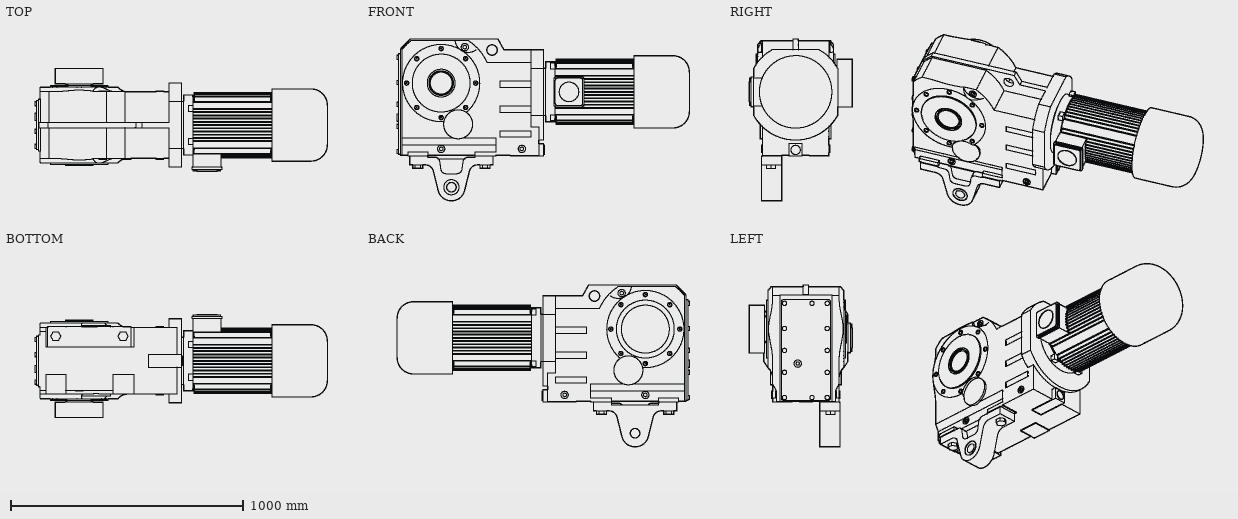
import cadquery as cq
import math


HOUSING_LEFT = -169.0
HOUSING_RIGHT = 387.0
HOUSING_TOP = 183.0
HOUSING_BOTTOM = -311.0
HOUSING_HALF_WIDTH = 144.0
CROWN_LEFT_X = -130.0
CROWN_RIGHT_X = 117.0
SHOULDER_LEFT_Z = 145.0
SHOULDER_Z = 88.0
HEEL_RIGHT = 421.0
HEEL_TOP = -186.0

WEB_THICKNESS = 24.0
WEB_LEFT = -174.0
WEB_TOP = 190.0
WEB_LEFT_CHAMFER = 40.0
WEB_NOSE_X = 244.0
WEB_STEP_X = 271.0
EYE_X = 219.0
EYE_Z = 142.0
EYE_DIAMETER = 44.0

BOSS_FACE_Y = 164.0
BOSS_FACE_RADIUS = 166.0
BOSS_ROOT_RADIUS = 207.0
BOSS_FLARE_RADIUS = 184.0
BOSS_FLARE_Y = 150.0
COVER_DIAMETER = 250.0
COVER_FACE_Y = 170.0
HUB_DIAMETER = 120.0
HUB_FACE_Y = 175.0
HUB_GROOVE_OUTER = 106.0
HUB_GROOVE_DEPTH = 5.0
BORE_DIAMETER = 95.0
BOSS_HOLE_COUNT = 8
BOSS_HOLE_CIRCLE_RADIUS = 149.0
BOSS_HOLE_DIAMETER = 19.0
BOSS_HOLE_DEPTH = 4.0
BOSS_HOLE_CONE_DIAMETER = 16.0
BOSS_HOLE_TIP_DIAMETER = 4.0
BOSS_HOLE_CONE_DEPTH = 6.0
PAD_X = 73.0
PAD_Z = -178.0
PAD_DIAMETER = 125.0
PAD_FACE_Y = 152.0
RELIEF_X = 117.0
RELIEF_Z = 190.0
RELIEF_RADIUS = 58.0

GUARD_INNER_Y = 178.0
GUARD_OUTER_Y = 244.0
GUARD_DIAMETER = 207.0
GUARD_NECK_SMALL_RADIUS = 49.0
GUARD_NECK_LARGE_RADIUS = 62.0

SLOT_LEFT = 253.0
SLOT_HEIGHT = 28.0
SLOT_DEPTH = 6.0
SLOT_TOPS = (9.0, -98.0, -205.0)
SKIRT_RIGHT = 235.0
SKIRT_HALF_WIDTH = 127.0
SKIRT_BEVEL_TOP = -235.0
SKIRT_BEVEL_BOTTOM = -266.0
FOOT_TOP = -296.0
FOOT_BOTTOM = -315.0
FOOT_INNER_Y = 59.0
FOOT_SPANS = ((-144.0, -57.0), (145.0, 235.0))

PLUG_DIAMETER = 31.0
PLUG_SOCKET = 16.0
PLUG_SOCKET_DEPTH = 4.0
SOCKET_TURN = 30
PLUG_RAISE = 4.0
PLUG_SHANK = 25.0
LOW_PLUG_Z = -283.0
SKIRT_PLUG_X = 0
HEEL_PLUG_X = 348.0
HIGH_PLUG_X = 102.0
HIGH_PLUG_Z = 155.0

DRAIN_LEFT = 299.0
DRAIN_RIGHT = 441.0
DRAIN_TOP = -261.0
DRAIN_WIDTH = 55.0
DRAIN_PLUG_DIAMETER = 40.0

FRAME_LEFT = -175.0
FRAME_HALF_WIDTH = 112.0
FRAME_TOP = 147.0
PLATE_LEFT = -184.0
PLATE_HALF_WIDTH = 106.0
PLATE_TOP = 127.0
PLATE_BOTTOM = -307.0
PLATE_CORNER_RADIUS = 10.0
END_LEFT = -190.0
COVER_SCREW_DIAMETER = 19.0
COVER_SCREW_Y = 92.0
COVER_SCREW_MIDDLE_Y = -26.0
COVER_SCREW_Z = (111.0, 3.0, -92.0, -186.0, -295.0)
COVER_PLUG_Y = 35.0
COVER_PLUG_Z = -149.0

ARM_FRONT_Y = -147.0
ARM_BACK_Y = -59.0
ARM_CENTER_X = 44.0
ARM_HALF_LENGTH = 180.0
ARM_TOP = FOOT_BOTTOM
ARM_PLATE_BOTTOM = -353.0
ARM_END_RADIUS = 59.0
ARM_HOLE_Z = -448.0
ARM_HOLE_DIAMETER = 40.0
ARM_BUSH_DIAMETER = 65.0
ARM_BUSH_RECESS = 3.0
ARM_LEG_ANGLE = 14
ARM_FILLET = 34.0
ARM_GAP_HALF = 101.0
ARM_GAP_BOTTOM = -319.0
ARM_WALL_TOP = -326.0
ARM_POCKET_BOTTOM = -390.0
ARM_POCKET_TOP_HALF = 53.0
ARM_POCKET_BOTTOM_HALF = 43.0
ARM_POCKET_FILLET = 23.0
ARM_POCKET_DEPTH = 31.0
ARM_BOLT_OFFSET = 145.0
ARM_BOLT_Y = -106.0
ARM_BOLT_HEAD_SIZE = 44.0
ARM_BOLT_HEAD_HEIGHT = 15.0

MOTOR_Z = -38.0
FLANGE_RIGHT = 441.0
FLANGE_RADIUS = 208.0
FLANGE_HALF_WIDTH = 181.0
NECK_RIGHT = 450.0
NECK_RADIUS = 102.0
RING_RIGHT = 490.0
RING_RADIUS = 130.0
LUG_LENGTH = 20.0
LUG_SIZE = 26.0
LUG_Y = 70.0
LUG_Z = 111.0
STATOR_RIGHT = 830.0
STATOR_RADIUS = 121.0
FIN_RADIUS = 141.0
FIN_COUNT = 11
FIN_PITCH = 14.0
FIN_THICKNESS = 4.0
FIN_END_GAP = 5.0
FAN_RIGHT = 1069.0
FAN_RADIUS = 156.0
FAN_ROUND = 72.0

BOX_X = 550.0
BOX_LENGTH = 121.0
BOX_HALF_HEIGHT = 60.0
RIM_LENGTH = 131.0
RIM_HEIGHT = 128.0
RIM_CORNER = 10.0
RIM_INNER_Y = -181.0
RIM_OUTER_Y = -191.0
LID_FACE_Y = -198.0
LID_SIZE = 118.0
BADGE_DIAMETER = 85.0
BADGE_FACE_Y = -200.0


def block(x0, x1, y0, y1, z0, z1):
    """Box given by its limits along each axis."""
    return cq.Workplane("XY").box(x1 - x0, y1 - y0, z1 - z0, centered=False).translate((x0, y0, z0))


def rod_x(diameter, x0, x1, y, z):
    """Cylinder along X."""
    return cq.Workplane("YZ", origin=(x0, y, z)).circle(diameter / 2).extrude(x1 - x0)


def rod_y(diameter, y0, y1, x, z):
    """Cylinder along Y."""
    return cq.Workplane("XZ", origin=(x, y0, z)).circle(diameter / 2).extrude(y0 - y1)


def prism_y(outline, y0, y1):
    """Closed XZ outline swept from y0 to y1."""
    return cq.Workplane("XZ", origin=(0, y0, 0)).polyline(outline).close().extrude(y0 - y1)


def fillet_edge_y(shape, x, z, radius):
    """Round the edge along Y that lies nearest to the given X and Z."""
    corner = cq.NearestToPointSelector((x, shape.val().Center().y, z))
    return shape.edges("|Y").edges(corner).fillet(radius)


def both_sides(shape):
    """Shape joined with its mirror image across Y = 0."""
    return shape.union(shape.mirror("XZ"))


def arc_middle(start, end):
    """Point on the shaft-centred arc halfway between two ends."""
    angle = (math.atan2(start[1], start[0]) + math.atan2(end[1], end[0])) / 2
    radius = (math.hypot(*start) + math.hypot(*end)) / 2
    return radius * math.cos(angle), radius * math.sin(angle)


def make_body(half_width):
    """Housing block with rounded shoulders left and right of its crown."""
    left_low = (HOUSING_LEFT, SHOULDER_LEFT_Z)
    left_high = (CROWN_LEFT_X, HOUSING_TOP)
    right_high = (CROWN_RIGHT_X, HOUSING_TOP)
    crown_radius = math.hypot(*right_high)
    right_low = (math.sqrt(crown_radius**2 - SHOULDER_Z**2), SHOULDER_Z)
    return (
        cq.Workplane("XZ")
        .moveTo(HOUSING_LEFT, HOUSING_BOTTOM)
        .lineTo(*left_low)
        .threePointArc(arc_middle(left_low, left_high), left_high)
        .lineTo(*right_high)
        .threePointArc(arc_middle(right_high, right_low), right_low)
        .lineTo(HOUSING_RIGHT, SHOULDER_Z)
        .lineTo(HOUSING_RIGHT, HEEL_TOP)
        .lineTo(HEEL_RIGHT, HEEL_TOP)
        .lineTo(HEEL_RIGHT, HOUSING_BOTTOM)
        .close()
        .extrude(half_width, both=True)
    )


def make_web():
    outline = [
        (WEB_LEFT, 0),
        (WEB_LEFT, WEB_TOP - WEB_LEFT_CHAMFER),
        (WEB_LEFT + WEB_LEFT_CHAMFER, WEB_TOP),
        (WEB_NOSE_X, WEB_TOP),
        (WEB_STEP_X, MOTOR_Z + FLANGE_HALF_WIDTH),
        (FLANGE_RIGHT, MOTOR_Z + FLANGE_HALF_WIDTH),
        (FLANGE_RIGHT, 0),
    ]
    web = prism_y(outline, -WEB_THICKNESS / 2, WEB_THICKNESS / 2)
    return web.cut(rod_y(EYE_DIAMETER, -WEB_THICKNESS, WEB_THICKNESS, EYE_X, EYE_Z))


def make_boss_holes():
    """Ring of shallow holes in the -Y boss face, each ending in a blunt cone."""
    cone_y = -BOSS_FACE_Y + BOSS_HOLE_DEPTH
    cone = (
        cq.Workplane("XZ", origin=(BOSS_HOLE_CIRCLE_RADIUS, cone_y, 0))
        .circle(BOSS_HOLE_CONE_DIAMETER / 2)
        .workplane(offset=-BOSS_HOLE_CONE_DEPTH)
        .circle(BOSS_HOLE_TIP_DIAMETER / 2)
        .loft()
    )
    hole = rod_y(BOSS_HOLE_DIAMETER, -BOSS_FACE_Y, cone_y, BOSS_HOLE_CIRCLE_RADIUS, 0).union(cone)
    holes = cq.Workplane("XY")
    for index in range(BOSS_HOLE_COUNT):
        holes = holes.union(hole.rotate((0, 0, 0), (0, 1, 0), index * 360 / BOSS_HOLE_COUNT))
    return holes


def make_boss():
    """Flared bearing boss on the -Y side, trimmed to the housing outline."""
    boss = (
        cq.Workplane("XY")
        .moveTo(0, 0)
        .lineTo(BOSS_ROOT_RADIUS, 0)
        .lineTo(BOSS_ROOT_RADIUS, -HOUSING_HALF_WIDTH)
        .threePointArc((BOSS_FLARE_RADIUS, -BOSS_FLARE_Y), (BOSS_FACE_RADIUS, -BOSS_FACE_Y))
        .lineTo(0, -BOSS_FACE_Y)
        .close()
        .revolve(360, (0, 0, 0), (0, 1, 0))
        .intersect(make_body(BOSS_FACE_Y))
    )
    boss = boss.cut(rod_y(2 * RELIEF_RADIUS, -BOSS_FACE_Y, -HOUSING_HALF_WIDTH, RELIEF_X, RELIEF_Z))
    boss = boss.cut(rod_y(PAD_DIAMETER, -BOSS_FACE_Y, -PAD_FACE_Y, PAD_X, PAD_Z))
    boss = boss.union(rod_y(PAD_DIAMETER, -PAD_FACE_Y, 0, PAD_X, PAD_Z))
    boss = boss.union(rod_y(COVER_DIAMETER, -COVER_FACE_Y, 0, 0, 0))
    return boss.cut(make_boss_holes())


def make_plug_y(x, z, face_y, base_y):
    """Screw plug with a hexagon socket on the -Y side."""
    plug = rod_y(PLUG_DIAMETER, face_y, base_y, x, z)
    socket = (
        cq.Workplane("XZ", origin=(x, face_y, z))
        .transformed(rotate=(0, 0, SOCKET_TURN))
        .polygon(6, PLUG_SOCKET)
        .extrude(-PLUG_SOCKET_DEPTH)
    )
    return plug.cut(socket)


def make_plugs():
    """Plugs of the -Y side, each raised slightly above the wall it sits in."""
    plugs = cq.Workplane("XY")
    for x, z, wall_y in (
        (HIGH_PLUG_X, HIGH_PLUG_Z, -HOUSING_HALF_WIDTH),
        (HEEL_PLUG_X, LOW_PLUG_Z, -HOUSING_HALF_WIDTH),
        (SKIRT_PLUG_X, LOW_PLUG_Z, -SKIRT_HALF_WIDTH),
    ):
        plugs = plugs.union(make_plug_y(x, z, wall_y - PLUG_RAISE, wall_y + PLUG_SHANK))
    return plugs


def make_slots():
    """Shallow hollow flutes on the -Y side, running up to the flange."""
    slots = cq.Workplane("XY")
    for top in SLOT_TOPS:
        slot = (
            cq.Workplane("YZ", origin=(SLOT_LEFT, -HOUSING_HALF_WIDTH, top))
            .threePointArc((SLOT_DEPTH, -SLOT_HEIGHT / 2), (0, -SLOT_HEIGHT))
            .close()
            .extrude(HOUSING_RIGHT - SLOT_LEFT)
        )
        slots = slots.union(slot)
    return slots


def make_skirt_cut():
    """Material removed along the foot of the -Y side, with a bevelled upper edge."""
    return (
        cq.Workplane("YZ", origin=(HOUSING_LEFT, 0, 0))
        .moveTo(-HOUSING_HALF_WIDTH, SKIRT_BEVEL_TOP)
        .lineTo(-SKIRT_HALF_WIDTH, SKIRT_BEVEL_BOTTOM)
        .lineTo(-SKIRT_HALF_WIDTH, HOUSING_BOTTOM)
        .lineTo(-HOUSING_HALF_WIDTH, HOUSING_BOTTOM)
        .close()
        .extrude(SKIRT_RIGHT - HOUSING_LEFT)
    )


def make_feet():
    feet = cq.Workplane("XY")
    for x0, x1 in FOOT_SPANS:
        feet = feet.union(block(x0, x1, -HOUSING_HALF_WIDTH, -FOOT_INNER_Y, FOOT_BOTTOM, FOOT_TOP))
    return feet


def make_drain_boss():
    half_width = DRAIN_WIDTH / 2
    boss = block(DRAIN_LEFT, DRAIN_RIGHT, -half_width, half_width, FOOT_BOTTOM, DRAIN_TOP)
    plug_z = (FOOT_BOTTOM + DRAIN_TOP) / 2
    return boss.union(rod_x(DRAIN_PLUG_DIAMETER, HEEL_RIGHT, DRAIN_RIGHT + PLUG_RAISE, 0, plug_z))


def make_housing():
    side_cuts = make_slots().union(make_skirt_cut())
    housing = make_body(HOUSING_HALF_WIDTH).cut(both_sides(side_cuts))
    side_parts = make_boss().union(make_plugs()).union(make_feet())
    return housing.union(both_sides(side_parts)).union(make_web()).union(make_drain_boss())


def make_end_cover():
    frame = block(FRAME_LEFT, 0, -FRAME_HALF_WIDTH, FRAME_HALF_WIDTH, HOUSING_BOTTOM, FRAME_TOP)
    plate = block(PLATE_LEFT, 0, -PLATE_HALF_WIDTH, PLATE_HALF_WIDTH, PLATE_BOTTOM, PLATE_TOP)
    cover = frame.union(plate.edges("|X").fillet(PLATE_CORNER_RADIUS))
    screws = [(side * COVER_SCREW_Y, z) for side in (-1, 1) for z in COVER_SCREW_Z]
    screws += [(COVER_SCREW_MIDDLE_Y, z) for z in (COVER_SCREW_Z[0], COVER_SCREW_Z[-1])]
    for y, z in screws:
        cover = cover.union(rod_x(COVER_SCREW_DIAMETER, END_LEFT, 0, y, z))
    cover = cover.union(rod_x(PLUG_DIAMETER, END_LEFT, 0, COVER_PLUG_Y, COVER_PLUG_Z))
    socket = (
        cq.Workplane("YZ", origin=(END_LEFT, COVER_PLUG_Y, COVER_PLUG_Z))
        .polygon(6, PLUG_SOCKET)
        .extrude(PLUG_SOCKET_DEPTH)
    )
    return cover.cut(socket)


def make_output_hub():
    """Shaft hub on the -Y side and the closed shrink disc guard on the +Y side."""
    hub = rod_y(HUB_DIAMETER, -HUB_FACE_Y, 0, 0, 0)
    guard_neck = (
        cq.Workplane("XY")
        .lineTo(GUARD_NECK_SMALL_RADIUS, 0)
        .lineTo(GUARD_NECK_SMALL_RADIUS, COVER_FACE_Y)
        .lineTo(GUARD_NECK_LARGE_RADIUS, GUARD_INNER_Y)
        .lineTo(0, GUARD_INNER_Y)
        .close()
        .revolve(360, (0, 0, 0), (0, 1, 0))
    )
    return hub.union(guard_neck).union(rod_y(GUARD_DIAMETER, GUARD_INNER_Y, GUARD_OUTER_Y, 0, 0))


def make_bore():
    """Blind shaft bore with a ring groove at its mouth."""
    groove = rod_y(HUB_GROOVE_OUTER, -HUB_FACE_Y, -HUB_FACE_Y + HUB_GROOVE_DEPTH, 0, 0)
    return groove.union(rod_y(BORE_DIAMETER, -HUB_FACE_Y, GUARD_INNER_Y, 0, 0))


def make_torque_arm():
    arm = block(-ARM_HALF_LENGTH, ARM_HALF_LENGTH, ARM_FRONT_Y, ARM_BACK_Y, ARM_PLATE_BOTTOM, ARM_TOP)

    angle = math.radians(ARM_LEG_ANGLE)
    tangent_x = ARM_END_RADIUS * math.cos(angle)
    tangent_z = ARM_HOLE_Z - ARM_END_RADIUS * math.sin(angle)
    root_x = tangent_x + (ARM_PLATE_BOTTOM - tangent_z) * math.tan(angle)
    leg = (
        cq.Workplane("XZ", origin=(0, ARM_FRONT_Y, 0))
        .moveTo(-root_x, ARM_PLATE_BOTTOM)
        .lineTo(-tangent_x, tangent_z)
        .threePointArc((0, ARM_HOLE_Z - ARM_END_RADIUS), (tangent_x, tangent_z))
        .lineTo(root_x, ARM_PLATE_BOTTOM)
        .close()
        .extrude(ARM_FRONT_Y - ARM_BACK_Y)
    )
    arm = arm.union(leg)
    for side in (-1, 1):
        arm = fillet_edge_y(arm, side * root_x, ARM_PLATE_BOTTOM, ARM_FILLET)

    pocket_back_y = ARM_FRONT_Y + ARM_POCKET_DEPTH
    pocket_outline = [
        (-ARM_GAP_HALF, ARM_TOP),
        (-ARM_GAP_HALF, ARM_GAP_BOTTOM),
        (-ARM_POCKET_TOP_HALF, ARM_GAP_BOTTOM),
        (-ARM_POCKET_BOTTOM_HALF, ARM_POCKET_BOTTOM),
        (ARM_POCKET_BOTTOM_HALF, ARM_POCKET_BOTTOM),
        (ARM_POCKET_TOP_HALF, ARM_GAP_BOTTOM),
        (ARM_GAP_HALF, ARM_GAP_BOTTOM),
        (ARM_GAP_HALF, ARM_TOP),
    ]
    pocket = prism_y(pocket_outline, ARM_FRONT_Y, pocket_back_y)
    for x, z in pocket_outline[2:-2]:
        pocket = fillet_edge_y(pocket, x, z, ARM_POCKET_FILLET)
    arm = arm.cut(pocket)
    arm = arm.cut(block(-ARM_GAP_HALF, ARM_GAP_HALF, pocket_back_y, ARM_BACK_Y, ARM_WALL_TOP, ARM_TOP))

    arm = arm.cut(rod_y(ARM_HOLE_DIAMETER, ARM_FRONT_Y, ARM_BACK_Y, 0, ARM_HOLE_Z))
    arm = arm.cut(rod_y(ARM_BUSH_DIAMETER, ARM_FRONT_Y, ARM_FRONT_Y + ARM_BUSH_RECESS, 0, ARM_HOLE_Z))

    bolt_heads = (
        cq.Workplane("XY", origin=(0, ARM_BOLT_Y, ARM_PLATE_BOTTOM))
        .pushPoints([(-ARM_BOLT_OFFSET, 0), (ARM_BOLT_OFFSET, 0)])
        .polygon(6, ARM_BOLT_HEAD_SIZE)
        .extrude(-ARM_BOLT_HEAD_HEIGHT)
    )
    return arm.union(bolt_heads).translate((ARM_CENTER_X, 0, 0))


def make_flange():
    """Round flange flattened at both sides and at the top."""
    disc = rod_x(2 * FLANGE_RADIUS, HOUSING_RIGHT, FLANGE_RIGHT, 0, 0)
    flats = block(
        HOUSING_RIGHT, FLANGE_RIGHT,
        -FLANGE_HALF_WIDTH, FLANGE_HALF_WIDTH,
        -FLANGE_RADIUS, FLANGE_HALF_WIDTH,
    )
    return disc.intersect(flats)


def make_fins():
    """Parallel cooling fins pointing up, down and to both sides, cut to a round envelope."""
    start = RING_RIGHT + FIN_END_GAP
    end = STATOR_RIGHT - FIN_END_GAP
    half = FIN_THICKNESS / 2
    fins = cq.Workplane("XY")
    for index in range(FIN_COUNT):
        offset = (index - (FIN_COUNT - 1) / 2) * FIN_PITCH
        upright = block(start, end, offset - half, offset + half, -FIN_RADIUS, FIN_RADIUS)
        level = block(start, end, -FIN_RADIUS, FIN_RADIUS, offset - half, offset + half)
        fins = fins.union(upright).union(level)
    return fins.intersect(rod_x(2 * FIN_RADIUS, start, end, 0, 0))


def make_terminal_box():
    half_length = BOX_LENGTH / 2
    box = block(-half_length, half_length, RIM_INNER_Y, 0, -BOX_HALF_HEIGHT, BOX_HALF_HEIGHT)
    rim = (
        cq.Workplane("XZ", origin=(0, RIM_INNER_Y, 0))
        .rect(RIM_LENGTH, RIM_HEIGHT)
        .extrude(RIM_INNER_Y - RIM_OUTER_Y)
        .edges("|Y")
        .fillet(RIM_CORNER)
    )
    lid = (
        cq.Workplane("XZ", origin=(0, RIM_OUTER_Y, 0))
        .rect(LID_SIZE, LID_SIZE)
        .extrude(RIM_OUTER_Y - LID_FACE_Y)
        .edges("|Y")
        .fillet(RIM_CORNER)
    )
    badge = rod_y(BADGE_DIAMETER, BADGE_FACE_Y, LID_FACE_Y, 0, 0)
    return box.union(rim).union(lid).union(badge).translate((BOX_X, 0, 0))


def make_motor():
    motor = make_flange()
    motor = motor.union(rod_x(2 * NECK_RADIUS, FLANGE_RIGHT, NECK_RIGHT, 0, 0))
    motor = motor.union(rod_x(2 * RING_RADIUS, NECK_RIGHT, RING_RIGHT, 0, 0))
    motor = motor.union(rod_x(2 * STATOR_RADIUS, RING_RIGHT, STATOR_RIGHT, 0, 0))
    lug = cq.Workplane("XY").box(LUG_LENGTH, LUG_SIZE, LUG_SIZE)
    for side_y in (-1, 1):
        for side_z in (-1, 1):
            lug_center = (RING_RIGHT - LUG_LENGTH / 2, side_y * LUG_Y, side_z * LUG_Z)
            motor = motor.union(lug.translate(lug_center))
    fan_cover = rod_x(2 * FAN_RADIUS, STATOR_RIGHT, FAN_RIGHT, 0, 0).faces(">X").edges().fillet(FAN_ROUND)
    motor = motor.union(make_fins()).union(fan_cover).union(make_terminal_box())
    return motor.translate((0, 0, MOTOR_Z))


result = (
    make_housing()
    .union(make_end_cover())
    .union(make_output_hub())
    .cut(make_bore())
    .union(make_torque_arm())
    .union(make_motor())
)